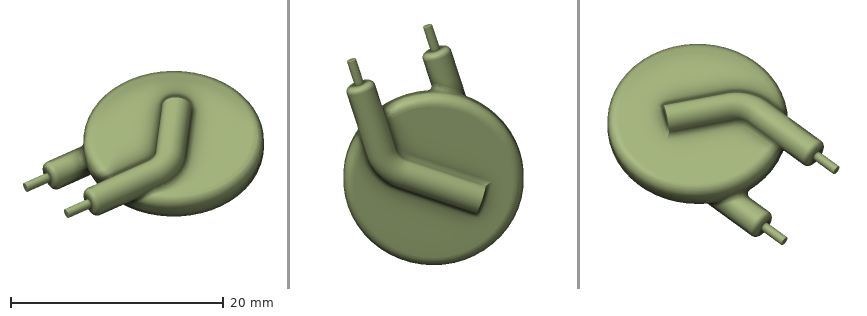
import cadquery as cq
import math

disc_diameter = 17.0
disc_thickness = 2.8
disc_rim_fillet = 1.0

lead_spacing = 7.5
lead_diameter = 2.8
lead_height = 1.75
lead_tip_y = -11.5
lead_tip_fillet = 0.5
bend_radius = 3.3
slope_angle = 36.7
top_run_past_center = 3.05
bottom_run_past_center = 4.7
blend_fillet = 0.5

wire_diameter = 0.9
wire_length = 2.5

lead_x = lead_spacing / 2
slope = math.radians(slope_angle)
bend_angle = math.pi / 2 - slope


def make_disc():
    disc = cq.Workplane("XY").circle(disc_diameter / 2).extrude(disc_thickness / 2, both=True)
    return disc.edges().fillet(disc_rim_fillet)


def make_lead(side, run_past_center):
    """Bent lead: side = 1 lies on the top face at +X, side = -1 on the bottom face at -X."""
    axis_z = side * lead_height
    corner_y = -lead_x * math.tan(slope)
    tangent_length = bend_radius * math.tan(bend_angle / 2)
    bend_start_y = corner_y - tangent_length
    bend_center_x = lead_x - bend_radius

    def on_bend(angle):
        x = bend_center_x + bend_radius * math.cos(angle)
        y = bend_start_y + bend_radius * math.sin(angle)
        return (side * x, y)

    run_end = (-side * run_past_center * math.cos(slope), run_past_center * math.sin(slope))
    path = (
        cq.Workplane("XY", origin=(0, 0, axis_z))
        .moveTo(side * lead_x, lead_tip_y)
        .lineTo(*on_bend(0))
        .threePointArc(on_bend(bend_angle / 2), on_bend(bend_angle))
        .lineTo(*run_end)
    )
    tip_plane = cq.Plane(origin=(side * lead_x, lead_tip_y, axis_z), xDir=(1, 0, 0), normal=(0, 1, 0))
    lead = cq.Workplane(tip_plane).circle(lead_diameter / 2).sweep(path)
    return lead.faces("<Y").edges().fillet(lead_tip_fillet)


def lies_on(edge, solid):
    """True when the middle of an edge lies on the skin of a solid."""
    tolerance = 1e-3
    middle = cq.Vertex.makeVertex(*edge.positionAt(0.5).toTuple())
    return all(middle.distance(shell) < tolerance for shell in solid.val().Shells())


def blend_lead(body, lead):
    """Join a lead to the body and fillet the new edges where their surfaces meet."""
    joined = body.union(lead)
    seam = [
        edge for edge in joined.edges().vals()
        if lies_on(edge, lead) and lies_on(edge, body)
    ]
    return joined.newObject(seam).fillet(blend_fillet)


def make_wire(side):
    tip_plane = cq.Plane(
        origin=(side * lead_x, lead_tip_y, side * lead_height), xDir=(1, 0, 0), normal=(0, -1, 0)
    )
    return cq.Workplane(tip_plane).circle(wire_diameter / 2).extrude(wire_length)


result = make_disc()
for side, run_past_center in ((1, top_run_past_center), (-1, bottom_run_past_center)):
    result = blend_lead(result, make_lead(side, run_past_center))
    result = result.union(make_wire(side))